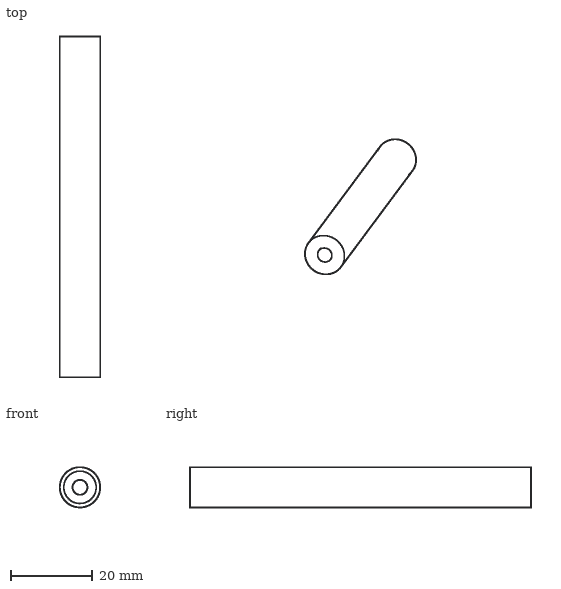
import cadquery as cq
import math

length = 84.0
outer_diameter = 10.0

hole_diameter = 3.6
socket_diameter = 8.0
socket_depth = 4.0
cone_angle = 90.0

outer_radius = outer_diameter / 2
hole_radius = hole_diameter / 2
socket_radius = socket_diameter / 2
cone_depth = (socket_radius - hole_radius) / math.tan(math.radians(cone_angle / 2))

front_y = -length / 2
back_y = length / 2
socket_floor_y = front_y + socket_depth
cone_end_y = socket_floor_y + cone_depth

wall_section = (
    cq.Workplane("XY")
    .moveTo(outer_radius, front_y)
    .lineTo(outer_radius, back_y)
    .lineTo(hole_radius, back_y)
    .lineTo(hole_radius, cone_end_y)
    .lineTo(socket_radius, socket_floor_y)
    .lineTo(socket_radius, front_y)
    .close()
)
result = wall_section.revolve(360, (0, 0, 0), (0, 1, 0))